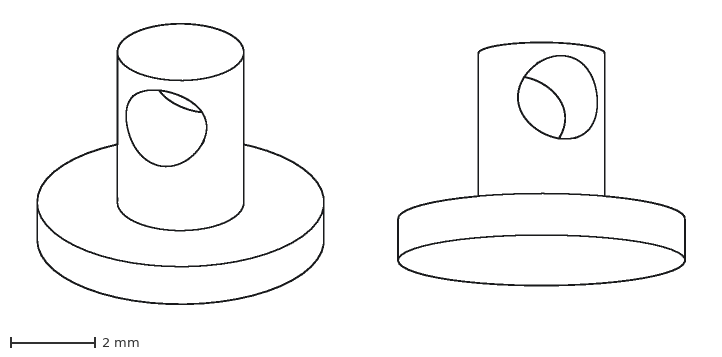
import cadquery as cq

base_diameter = 6.8
total_height = 4.98

base_thickness = 1.0
stem_diameter = 3.0
stem_height = total_height - base_thickness

hole_diameter = 2.0
hole_top_wall = 0.305
hole_center_z = total_height - hole_top_wall - hole_diameter / 2


def make_base():
    """Plain round disc standing on the XY plane."""
    return cq.Workplane("XY").circle(base_diameter / 2).extrude(base_thickness)


def make_stem():
    """Round post resting on the disc, with a cross hole near its top."""
    post = (
        cq.Workplane("XY")
        .workplane(offset=base_thickness)
        .circle(stem_diameter / 2)
        .extrude(stem_height)
    )
    cross_hole = (
        cq.Workplane("XZ")
        .center(0, hole_center_z)
        .circle(hole_diameter / 2)
        .extrude(stem_diameter, both=True)
    )
    return post.cut(cross_hole).solids()


base = make_base()
stem = make_stem()

result = cq.Compound.makeCompound([base.val(), stem.val()])